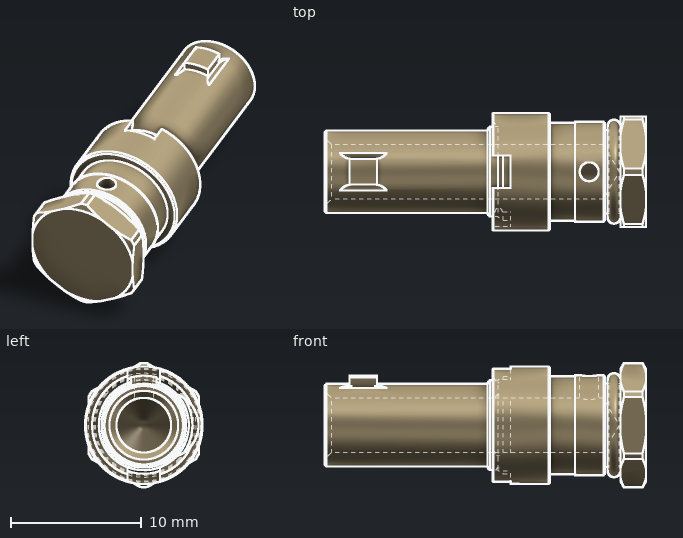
import cadquery as cq
import math

TOTAL_LENGTH = 24.65

TUBE_RADIUS = 3.18
TUBE_CHAMFER = 0.17
BORE_RADIUS = 2.1
BORE_MOUTH_RADIUS = 2.65
BORE_MOUTH_DEPTH = 0.55
BORE_DEPTH = 21.35
DRILL_POINT_ANGLE = 118.0

SHOULDER_X = 12.5
SHOULDER_RADIUS = 3.45
SHOULDER_CHAMFER = 0.2
RAMP_START = 13.3
RAMP_END = 13.69
CORE_RADIUS = 3.72

COLLAR_START = 12.87
COLLAR_END = 17.3
COLLAR_RADIUS = 4.51
COLLAR_FRONT_CHAMFER = 0.07
COLLAR_REAR_CHAMFER = 0.15
COLLAR_MOUTH_RADIUS = 3.97
SLOT_WIDTH = 2.5
SLOT_END = 14.28
RECESS_CENTER_Y = -1.68
RECESS_RADIUS = 2.52

NECK_RADIUS = 3.77
RING_START = 19.2
RING_END = 21.5
RING_RADIUS = 3.85
RING_CHAMFER = 0.12
HUB_RADIUS = 3.2
BEAD_RADIUS = 0.5
BEAD_OUTER_RADIUS = 4.0
CROSS_HOLE_X = 20.3
CROSS_HOLE_DIAMETER = 1.45

NUT_LENGTH = 1.97
NUT_ACROSS_FLATS = 8.48
NUT_CORNER_RADIUS = 4.75
NUT_CHAMFER_RADIAL = 0.47
NUT_CHAMFER_LENGTH = 0.27
NUT_START = TOTAL_LENGTH - NUT_LENGTH

LUG_START = 1.92
LUG_LENGTH = 2.12
LUG_WIDTH = 1.97
LUG_TOP_RADIUS = 3.8
LUG_FLAT_Z = 2.84
LUG_CUTTER_RADIUS = 1.05
LUG_CUTTER_TRAVEL = 1.82


def revolve_about_x(profile):
    """Revolve a closed XY profile, with Y as the radius, about the X axis."""
    return profile.close().revolve(360, (0, 0, 0), (1, 0, 0))


def cylinder_x(start, end, radius):
    return cq.Workplane("YZ", origin=(start, 0, 0)).circle(radius).extrude(end - start)


def make_core():
    profile = (
        cq.Workplane("XY")
        .moveTo(0, 0)
        .lineTo(0, TUBE_RADIUS - TUBE_CHAMFER)
        .lineTo(TUBE_CHAMFER, TUBE_RADIUS)
        .lineTo(SHOULDER_X, TUBE_RADIUS)
        .lineTo(SHOULDER_X, SHOULDER_RADIUS - SHOULDER_CHAMFER)
        .lineTo(SHOULDER_X + SHOULDER_CHAMFER, SHOULDER_RADIUS)
        .lineTo(RAMP_START, SHOULDER_RADIUS)
        .lineTo(RAMP_END, CORE_RADIUS)
        .lineTo(COLLAR_END, CORE_RADIUS)
        .lineTo(COLLAR_END, NECK_RADIUS)
        .lineTo(RING_START, NECK_RADIUS)
        .lineTo(RING_START, RING_RADIUS)
        .lineTo(RING_END - RING_CHAMFER, RING_RADIUS)
        .lineTo(RING_END, RING_RADIUS - RING_CHAMFER)
        .lineTo(RING_END, HUB_RADIUS)
        .lineTo(NUT_START, HUB_RADIUS)
        .lineTo(NUT_START, 0)
    )
    return revolve_about_x(profile)


def make_collar():
    collar = (
        cylinder_x(COLLAR_START, COLLAR_END, COLLAR_RADIUS)
        .faces("<X").chamfer(COLLAR_FRONT_CHAMFER)
        .faces(">X").chamfer(COLLAR_REAR_CHAMFER)
    )
    mouth = revolve_about_x(
        cq.Workplane("XY")
        .moveTo(COLLAR_START, 0)
        .lineTo(COLLAR_START, COLLAR_MOUTH_RADIUS)
        .lineTo(RAMP_START, SHOULDER_RADIUS)
        .lineTo(RAMP_START, 0)
    )
    cut_length = SLOT_END - COLLAR_START
    slots = cq.Workplane("XY").box(cut_length, SLOT_WIDTH, 2 * NUT_CORNER_RADIUS)
    slots = slots.translate((COLLAR_START + cut_length / 2, 0, 0))
    recess = (
        cq.Workplane("YZ", origin=(COLLAR_START, 0, 0))
        .center(RECESS_CENTER_Y, 0)
        .circle(RECESS_RADIUS)
        .extrude(cut_length)
    )
    return collar.cut(mouth).cut(slots).cut(recess)


def make_sealing_bead():
    ring_radius = BEAD_OUTER_RADIUS - BEAD_RADIUS
    return (
        cq.Workplane("XY")
        .center(NUT_START - BEAD_RADIUS, ring_radius)
        .circle(BEAD_RADIUS)
        .revolve(360, (0, -ring_radius, 0), (1, -ring_radius, 0))
    )


def make_nut():
    hexagon_diameter = NUT_ACROSS_FLATS / math.cos(math.radians(30))
    hexagon = (
        cq.Workplane("YZ", origin=(NUT_START, 0, 0))
        .transformed(rotate=(0, 0, 90))
        .polygon(6, hexagon_diameter)
        .extrude(NUT_LENGTH)
    )
    face_radius = NUT_CORNER_RADIUS - NUT_CHAMFER_RADIAL
    envelope = revolve_about_x(
        cq.Workplane("XY")
        .moveTo(NUT_START, 0)
        .lineTo(NUT_START, face_radius)
        .lineTo(NUT_START + NUT_CHAMFER_LENGTH, NUT_CORNER_RADIUS)
        .lineTo(TOTAL_LENGTH - NUT_CHAMFER_LENGTH, NUT_CORNER_RADIUS)
        .lineTo(TOTAL_LENGTH, face_radius)
        .lineTo(TOTAL_LENGTH, 0)
    )
    return hexagon.intersect(envelope)


def make_lug():
    block = (
        cq.Workplane("XY", origin=(LUG_START + LUG_LENGTH / 2, 0, LUG_FLAT_Z))
        .rect(LUG_LENGTH, LUG_WIDTH)
        .extrude(LUG_TOP_RADIUS)
    )
    return block.intersect(cylinder_x(LUG_START, LUG_START + LUG_LENGTH, LUG_TOP_RADIUS))


def make_lug_side_flats():
    """Round-ended cuts whose straight sides run along the two sides of the lug."""
    center_offset = LUG_WIDTH / 2 + LUG_CUTTER_RADIUS
    return (
        cq.Workplane("XY", origin=(LUG_START + LUG_LENGTH / 2, 0, LUG_FLAT_Z))
        .pushPoints([(0, -center_offset), (0, center_offset)])
        .slot2D(LUG_CUTTER_TRAVEL + 2 * LUG_CUTTER_RADIUS, 2 * LUG_CUTTER_RADIUS)
        .extrude(LUG_TOP_RADIUS)
    )


def make_bore():
    point_length = BORE_RADIUS / math.tan(math.radians(DRILL_POINT_ANGLE / 2))
    profile = (
        cq.Workplane("XY")
        .moveTo(0, 0)
        .lineTo(0, BORE_MOUTH_RADIUS)
        .lineTo(BORE_MOUTH_DEPTH, BORE_RADIUS)
        .lineTo(BORE_DEPTH, BORE_RADIUS)
        .lineTo(BORE_DEPTH + point_length, 0)
    )
    return revolve_about_x(profile)


def make_cross_hole():
    """Radial hole from the top of the ring into the bore."""
    return (
        cq.Workplane("XY", origin=(CROSS_HOLE_X, 0, 0))
        .circle(CROSS_HOLE_DIAMETER / 2)
        .extrude(RING_RADIUS)
    )


result = (
    make_core()
    .union(make_collar())
    .union(make_sealing_bead())
    .union(make_nut())
    .union(make_lug())
    .cut(make_lug_side_flats())
    .cut(make_bore())
    .cut(make_cross_hole())
)